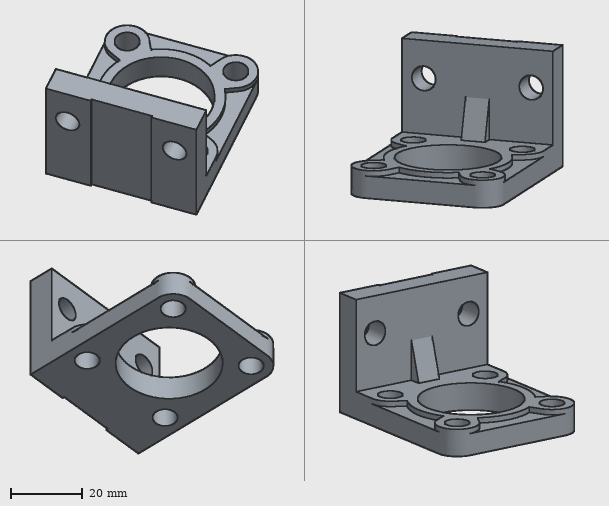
import cadquery as cq
import math

width = 45.0
length = 54.5
height = 35.0
plate_thickness = 8.0
wall_thickness = 8.0

bore_diameter = 30.0
rim_diameter = 36.1
lug_spacing = 32.5
lug_radius = (width - lug_spacing) / 2
screw_hole_diameter = 7.05
raised_height = 1.6
web_taper_angle = 17.0

wall_hole_spacing = 32.0
wall_hole_height = 24.0
groove_width = 18.1
groove_depth = 0.6
gusset_width = 7.1
gusset_length = 3.55
gusset_height = 11.65

half_spacing = lug_spacing / 2
back_y = width / 2
front_y = back_y - length
wall_inner_y = front_y + wall_thickness
floor_height = plate_thickness - raised_height
lug_centers = [(sx * half_spacing, sy * half_spacing) for sx in (-1, 1) for sy in (-1, 1)]


def make_base_and_wall():
    base = (
        cq.Workplane("XY")
        .box(width, length, floor_height, centered=(True, False, False))
        .translate((0, front_y, 0))
        .edges("|Z and >Y")
        .fillet(lug_radius)
    )
    wall = (
        cq.Workplane("XY")
        .box(width, wall_thickness, height, centered=(True, False, False))
        .translate((0, front_y, 0))
    )
    return base.union(wall)


def make_web(center):
    """Tapered web whose sides are tangent to a lug and converge toward the bore."""
    x, y = center
    diagonal = math.atan2(y, x)
    taper = math.radians(web_taper_angle)
    outer_distance = math.hypot(x, y) - lug_radius * math.sin(taper)
    outer_half_width = lug_radius * math.cos(taper)
    inner_distance = (bore_diameter + rim_diameter) / 4
    inner_half_width = outer_half_width - (outer_distance - inner_distance) * math.tan(taper)
    web = (
        cq.Workplane("XY")
        .polyline([
            (inner_distance, -inner_half_width),
            (outer_distance, -outer_half_width),
            (outer_distance, outer_half_width),
            (inner_distance, inner_half_width),
        ])
        .close()
        .extrude(raised_height)
    )
    return web.rotate((0, 0, 0), (0, 0, 1), math.degrees(diagonal))


def make_raised_pad():
    pad = cq.Workplane("XY").circle(rim_diameter / 2).extrude(raised_height)
    pad = pad.union(cq.Workplane("XY").pushPoints(lug_centers).circle(lug_radius).extrude(raised_height))
    for center in lug_centers:
        pad = pad.union(make_web(center))
    land = (
        cq.Workplane("XY")
        .polyline([
            (-width / 2, wall_inner_y),
            (width / 2, wall_inner_y),
            (width / 2, -half_spacing),
            (half_spacing, -half_spacing),
            (0, 0),
            (-half_spacing, -half_spacing),
            (-width / 2, -half_spacing),
        ])
        .close()
        .extrude(raised_height)
    )
    return pad.union(land).translate((0, 0, floor_height))


def make_gusset():
    return (
        cq.Workplane("YZ")
        .polyline([
            (wall_inner_y, plate_thickness),
            (wall_inner_y + gusset_length, plate_thickness),
            (wall_inner_y, plate_thickness + gusset_height),
        ])
        .close()
        .extrude(gusset_width / 2, both=True)
    )


def make_plate_holes():
    bore = cq.Workplane("XY").circle(bore_diameter / 2).extrude(plate_thickness)
    screws = cq.Workplane("XY").pushPoints(lug_centers).circle(screw_hole_diameter / 2)
    return bore.union(screws.extrude(plate_thickness))


def make_wall_holes():
    centers = [(side * wall_hole_spacing / 2, wall_hole_height) for side in (-1, 1)]
    return (
        cq.Workplane("XZ", origin=(0, wall_inner_y, 0))
        .pushPoints(centers)
        .circle(screw_hole_diameter / 2)
        .extrude(wall_thickness)
    )


def make_groove():
    return (
        cq.Workplane("XY")
        .box(groove_width, groove_depth, height, centered=(True, False, False))
        .translate((0, front_y, 0))
    )


body = make_base_and_wall().union(make_raised_pad()).union(make_gusset())
result = body.cut(make_plate_holes()).cut(make_wall_holes()).cut(make_groove())